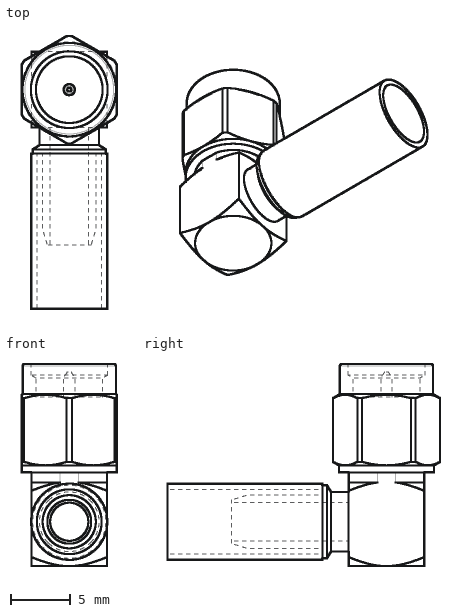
import cadquery as cq
import math


OVERLAP = 0.5
BEVEL_SLOPE = math.tan(math.radians(30))
HEX_HALF_ANGLE = 30

body_bottom_z = -3.71
overall_height = 16.95
top_z = body_bottom_z + overall_height
body_top_z = 3.3
collar_bottom_z = 4.14
nut_bottom_z = 4.73
nut_top_z = 10.69

body_width = 6.36
body_height = body_top_z - body_bottom_z
body_bottom_bevel_radius = 3.2
neck_radius = 3.27

collar_radius = 4.0
nut_across_flats = 8.0
nut_corner_radius = 4.5
nut_bottom_bevel_radius = 4.0
sleeve_radius = 3.92
sleeve_rim_fillet = 0.2

socket_mouth_radius = 3.22
socket_inner_radius = 2.8
socket_mouth_depth = 0.95
socket_depth = 2.8
socket_floor_z = top_z - socket_depth
pin_radius = 0.47
pin_recess = 0.7
pin_top_z = top_z - pin_recess
pin_tip_radius = 0.17
pin_cone_radius = 0.34
pin_cone_height = 0.27
pin_tip_height = 0.53

cable_neck_radius = 2.5
shoulder_radius = 3.07
shoulder_bevel_start = 4.64
shoulder_bevel_end = 5.0
tube_start = 5.37
tube_length = 13.0
tube_end = tube_start + tube_length
tube_radius = 3.2
tube_bore_radius = 2.72

ferrule_radius = 2.23
ferrule_tip_radius = 1.84
ferrule_bore_radius = 1.6
ferrule_end = 13.0
ferrule_taper_length = 1.3


def revolve_about_z(points):
    """Turn a closed (radius, height) outline around the Z axis."""
    return cq.Workplane("XZ").polyline(points).close().revolve(360, (0, 0), (0, 1))


def bevelled_blank(bottom_z, height, bottom_radius, top_radius, full_radius):
    """Cylinder whose two end faces shrink to the given radii along shallow cones."""
    end_z = bottom_z + height
    bottom_drop = (full_radius - bottom_radius) * BEVEL_SLOPE
    top_drop = (full_radius - top_radius) * BEVEL_SLOPE
    return revolve_about_z([
        (0, bottom_z),
        (bottom_radius, bottom_z),
        (full_radius, bottom_z + bottom_drop),
        (full_radius, end_z - top_drop),
        (top_radius, end_z),
        (0, end_z),
    ])


def square_prism(bottom_z, height):
    return cq.Workplane("XY").workplane(offset=bottom_z).rect(body_width, body_width).extrude(height)


def make_body():
    """Square block with turned corners, and the round neck trimmed to the block's flats."""
    half_diagonal = body_width / math.sqrt(2)
    blank = bevelled_blank(
        body_bottom_z, body_height, body_bottom_bevel_radius, neck_radius, half_diagonal + OVERLAP
    )
    block = square_prism(body_bottom_z, body_height).intersect(blank)
    neck_start_z = body_top_z - OVERLAP
    neck_height = nut_bottom_z - neck_start_z
    neck = cq.Workplane("XY").workplane(offset=neck_start_z).circle(neck_radius).extrude(neck_height)
    return block.union(neck.intersect(square_prism(neck_start_z, neck_height)))


def make_nut():
    """Hexagonal nut with a collar below and a round sleeve above."""
    nut_height = nut_top_z - nut_bottom_z
    across_corners = nut_across_flats / math.cos(math.radians(HEX_HALF_ANGLE))
    hexagon = (
        cq.Workplane("XY").workplane(offset=nut_bottom_z)
        .transformed(rotate=(0, 0, HEX_HALF_ANGLE))
        .polygon(6, across_corners).extrude(nut_height)
    )
    blank = bevelled_blank(
        nut_bottom_z, nut_height, nut_bottom_bevel_radius, sleeve_radius, nut_corner_radius
    )
    collar = (
        cq.Workplane("XY").workplane(offset=collar_bottom_z)
        .circle(collar_radius).extrude(nut_bottom_z - collar_bottom_z)
    )
    sleeve_start_z = nut_top_z - OVERLAP
    sleeve = (
        cq.Workplane("XY").workplane(offset=sleeve_start_z)
        .circle(sleeve_radius).extrude(top_z - sleeve_start_z)
        .faces(">Z").fillet(sleeve_rim_fillet)
    )
    return hexagon.intersect(blank).union(collar).union(sleeve)


def make_socket():
    """Stepped opening in the top of the sleeve."""
    ledge_z = top_z - socket_mouth_depth
    ledge_drop = (socket_mouth_radius - socket_inner_radius) * BEVEL_SLOPE
    return revolve_about_z([
        (0, socket_floor_z),
        (socket_inner_radius, socket_floor_z),
        (socket_inner_radius, ledge_z - ledge_drop),
        (socket_mouth_radius, ledge_z),
        (socket_mouth_radius, top_z),
        (0, top_z),
    ])


def make_pin():
    """Centre contact whose rounded shoulder runs into a blunt cone."""
    start_z = socket_floor_z - OVERLAP
    return (
        cq.Workplane("XZ").moveTo(0, start_z)
        .lineTo(pin_radius, start_z)
        .lineTo(pin_radius, pin_top_z - pin_tip_height)
        .tangentArcPoint((pin_cone_radius, pin_top_z - pin_cone_height), relative=False)
        .lineTo(pin_tip_radius, pin_top_z)
        .lineTo(0, pin_top_z)
        .close().revolve(360, (0, 0), (0, 1))
    )


def make_cable_side():
    """Neck, shoulder, crimp tube and inner ferrule as one turned profile along -Y."""
    body_face = body_width / 2
    outline = [
        (0, body_face - OVERLAP),
        (cable_neck_radius, body_face - OVERLAP),
        (cable_neck_radius, shoulder_bevel_start),
        (shoulder_radius, shoulder_bevel_end),
        (shoulder_radius, tube_start),
        (tube_radius, tube_start),
        (tube_radius, tube_end),
        (tube_bore_radius, tube_end),
        (tube_bore_radius, tube_start),
        (ferrule_radius, tube_start),
        (ferrule_radius, ferrule_end - ferrule_taper_length),
        (ferrule_tip_radius, ferrule_end),
        (ferrule_bore_radius, ferrule_end),
        (ferrule_bore_radius, body_face),
        (0, body_face),
    ]
    return revolve_about_z(outline).rotate((0, 0, 0), (1, 0, 0), 90)


result = (
    make_body()
    .union(make_nut())
    .cut(make_socket())
    .union(make_pin())
    .union(make_cable_side())
)